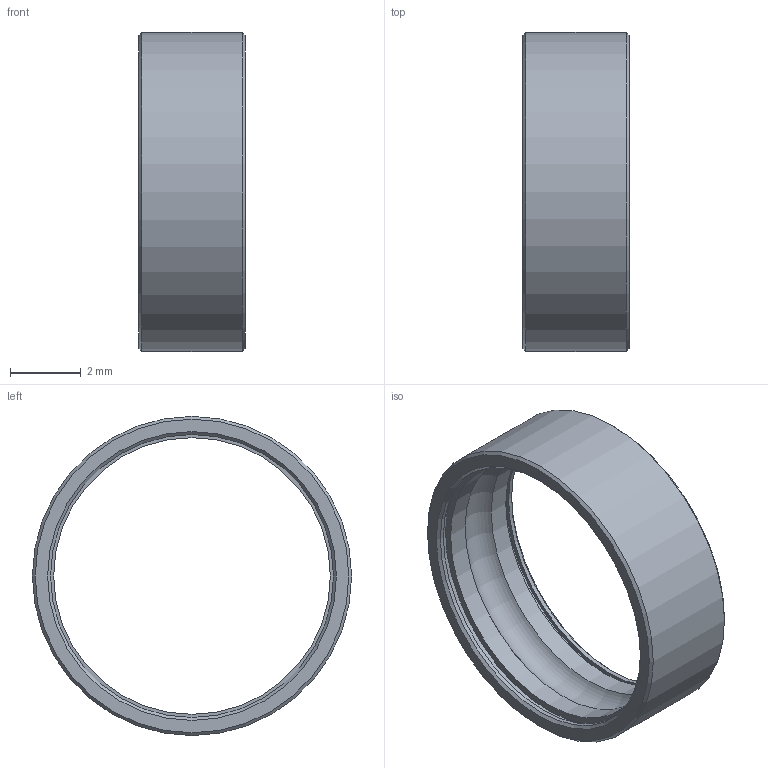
import cadquery as cq

width = 3.0
outer_radius = 4.5
land_radius = 3.9
edge_chamfer = 0.08

raceway_width = 1.04
raceway_depth = 0.3

lip_radius = 3.99
lip_width = 0.2
groove_radius = 4.1
groove_width = 0.2


def make_ring():
    """Revolve the chamfered blank, with its land bore and ball raceway, around X."""
    end = width / 2
    raceway_end = raceway_width / 2
    raceway_bottom = (0, land_radius + raceway_depth)
    profile = (
        cq.Workplane("XY")
        .moveTo(-end, land_radius)
        .lineTo(-end, outer_radius - edge_chamfer)
        .lineTo(-end + edge_chamfer, outer_radius)
        .lineTo(end - edge_chamfer, outer_radius)
        .lineTo(end, outer_radius - edge_chamfer)
        .lineTo(end, land_radius)
        .lineTo(raceway_end, land_radius)
        .threePointArc(raceway_bottom, (-raceway_end, land_radius))
        .close()
    )
    return profile.revolve(360, (0, 0, 0), (1, 0, 0))


def make_shield_seat():
    """Cutter for the -X lip bore, its chamfer and the shield groove."""
    end = -width / 2
    groove_start = end + lip_width
    groove_end = groove_start + groove_width
    profile = (
        cq.Workplane("XY")
        .moveTo(end, 0)
        .lineTo(end, lip_radius + edge_chamfer)
        .lineTo(end + edge_chamfer, lip_radius)
        .lineTo(groove_start, lip_radius)
        .lineTo(groove_start, groove_radius)
        .lineTo(groove_end, groove_radius)
        .lineTo(groove_end, 0)
        .close()
    )
    return profile.revolve(360, (0, 0, 0), (1, 0, 0))


shield_seat = make_shield_seat()
result = make_ring()
for seat in (shield_seat, shield_seat.mirror("YZ")):
    result = result.cut(seat)